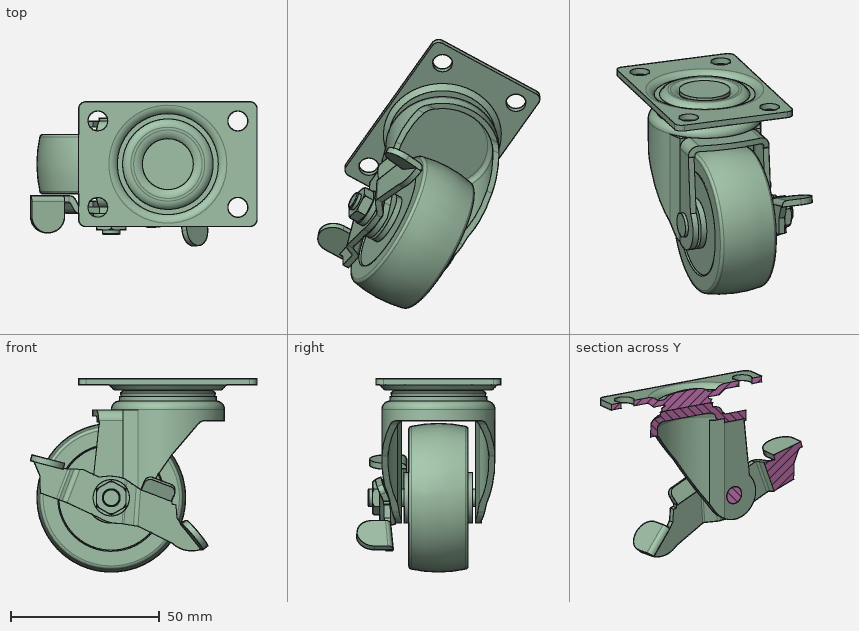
import cadquery as cq
import math


axle_x = -19.0
plate_top = 40.0
sheet = 2.1

plate_length = 60.0
plate_width = 42.0
plate_corner = 2.5
hole_pitch_x = 47.0
hole_pitch_y = 29.0
hole_diameter = 6.6
plate_bottom = plate_top - sheet

dish_rim_radius = 19.8
dish_depth = 1.75
dish_floor_radius = 16.95
dish_floor = plate_top - dish_depth
dish_base_radius = 18.0
dish_base = plate_bottom - dish_depth
race_outer_radius = 15.2
race_crest_outer = 12.4
race_crest_inner = 11.5
pin_radius = 8.55
pin_height = 1.3
seal_neck = 0.35
seal_radius = 16.0
seal_edge = 0.95
seal_base_radius = 15.7

fork_sheet = 2.05
fork_top = 32.5
collar_radius = 16.3
collar_top = 33.95
crown_radius = 19.0
crown_round = 2.8
skirt_bottom = 25.85
arm_outer = 14.45
web_top = 29.5
web_round = 3.5
web_front_middle = -25.3
web_front_corner = -23.2
blend_start_x = -15.1
blend_end_x = -9.95
arm_end_radius = 8.55
arm_front_high = (-23.0, 25.5)
arm_front_low = (-25.4, 3.0)
skirt_end_x = 13.0
fork_back_high = (10.2, 24.8)
fork_back_round = (11.3, 25.6)
fork_back_middle = (1.0, 14.0)
fork_back_angle = 34.0

wheel_radius = 25.0
wheel_width = 20.0
crown_drop = 1.2
tread_round = 1.15
recess_radius = 18.0
recess_floor_radius = 17.6
recess_depth = 0.5
hub_radius = 8.5
hub_width = 23.0

axle_radius = 3.0
head_radius = 4.1
head_thickness = 1.05
washer_radius = 6.1
washer_thickness = 2.0
nut_flats = 10.0
nut_thickness = 3.55
nut_turn = 30.0
nut_round_chamfer = 0.5
axle_tip = -23.65
axle_chamfer = 0.35

lever_left_y = -10.6
lever_middle_y = -arm_outer
lever_right_y = -17.7
left_bend = (-36.6, -34.5)
left_bend_tilt = 20.8
right_bend = (-14.4, -10.2)
right_bend_tilt = 4.0
right_slope = math.tan(math.radians(6.5))
bend_outside_round = sheet
bend_inside_round = 1.0
lever_split_x = axle_x + 2
lever_reach = 50.0

left_end_notch = [(-43.0, 7.4), (-42.8, 1.6)]
lower_edge = [(-34.0, -1.6), (-23.5, -6.5)]
lower_belly = [(-20.0, -8.1), (-15.5, -8.7)]
lower_right_edge = [(-9.9, -9.6), (1.5, -15.3)]
lower_tip_curve = (6.2, -17.7)
right_end_notch = [(4.0, -8.2), (3.1, -6.8), (2.7, -2.4), (1.4, -2.1), (1.4, -1.2)]
upper_saddle = (-14.5, 6.4)
upper_bulge = [(-18.9, 7.25), (-23.0, 6.9)]
upper_left_edge = [(-28.5, 9.5), (-33.2, 9.7)]

release_pedal_corner = (-45.65, 14.45)
release_pedal_fall = 14.7
release_pedal_length = 11.4
release_pedal_reach = 12.5
release_pedal_overhang = 1.0
pedal_root_round = 1.9
pedal_overlap = 0.3
brake_pedal_corner = (5.65, -7.6)
brake_pedal_fall = 50.7
brake_pedal_length = 11.1
brake_pedal_reach = 11.91
tab_corner = (-8.9, 2.6)
tab_fall = 20.8
tab_length = 10.9
tab_height = 4.9
tab_lean = 25.0
tab_round = 2.2
tab_root = 0.8


def y_cylinder(radius, y_from, y_to):
    """Cylinder on the wheel axle between two Y positions."""
    start = max(y_from, y_to)
    face = cq.Workplane("XZ", origin=(axle_x, start, 0)).circle(radius)
    return face.extrude(abs(y_to - y_from))


def level_arc_middle(start_radius, end_radius, drop):
    """Middle of an arc that leaves the plate's top level and drops while it runs to the end radius."""
    run = end_radius - start_radius
    half_turn = math.atan2(drop, abs(run))
    arc_radius = drop / (1 - math.cos(2 * half_turn))
    middle_run = math.copysign(arc_radius * math.sin(half_turn), run)
    return (start_radius + middle_run, plate_top - arc_radius * (1 - math.cos(half_turn)))


def make_plate():
    blank = (
        cq.Workplane("XY", origin=(0, 0, plate_bottom))
        .rect(plate_length, plate_width)
        .extrude(sheet)
        .edges("|Z")
        .fillet(plate_corner)
        .faces(">Z")
        .workplane()
        .rarray(hole_pitch_x, hole_pitch_y, 2, 2)
        .hole(hole_diameter)
    )
    opening = cq.Workplane("XY", origin=(0, 0, plate_bottom)).circle(dish_rim_radius).extrude(sheet)
    cup_mid = level_arc_middle(race_crest_inner, pin_radius, pin_height)
    race_mid = level_arc_middle(race_crest_outer, race_outer_radius, dish_depth)
    dish_mid = level_arc_middle(dish_rim_radius, dish_floor_radius, dish_depth)
    bearing = (
        cq.Workplane("XZ")
        .moveTo(0, plate_top)
        .lineTo(pin_radius, plate_top)
        .lineTo(pin_radius, plate_top - pin_height)
        .threePointArc(cup_mid, (race_crest_inner, plate_top))
        .lineTo(race_crest_outer, plate_top)
        .threePointArc(race_mid, (race_outer_radius, dish_floor))
        .lineTo(dish_floor_radius, dish_floor)
        .threePointArc(dish_mid, (dish_rim_radius, plate_top))
        .lineTo(dish_rim_radius, plate_bottom)
        .lineTo(dish_base_radius, dish_base)
        .lineTo(race_outer_radius, dish_base)
        .lineTo(race_outer_radius, dish_base - seal_neck)
        .lineTo(seal_radius, dish_base - seal_edge)
        .lineTo(seal_base_radius, collar_top)
        .lineTo(0, collar_top)
        .close()
        .revolve(360, (0, 0, 0), (0, 1, 0))
    )
    return blank.cut(opening).union(bearing)


def fork_form(inset):
    """Solid bounded by the fork's outer skin, moved inwards by the inset."""
    floor = -2 * arm_end_radius
    radius = crown_radius - inset
    half = arm_outer - inset
    crown = (
        cq.Workplane("XY", origin=(0, 0, floor))
        .circle(radius)
        .extrude(fork_top - inset - floor)
        .faces(">Z")
        .edges()
        .fillet(crown_round - inset / 2)
    )
    arms = (
        cq.Workplane("XY", origin=(0, 0, floor))
        .moveTo(axle_x, 0)
        .rect(-2 * axle_x, 2 * half)
        .extrude(web_top - inset - floor)
        .edges("|X and >Z")
        .fillet(web_round - inset)
    )
    blend_end_y = math.sqrt(radius**2 - blend_end_x**2)
    blend = (
        cq.Workplane("XY", origin=(0, 0, floor))
        .polyline([
            (blend_start_x, -half),
            (blend_end_x, -blend_end_y),
            (blend_end_x, blend_end_y),
            (blend_start_x, half),
        ])
        .close()
        .extrude(web_top - inset - floor)
    )
    return crown.union(arms).union(blend)


def fork_side():
    """Side outline of the fork: slanted front, rounded arm end, sweeping back edge."""
    angle = math.radians(fork_back_angle)
    tangent = (axle_x + arm_end_radius * math.cos(angle), -arm_end_radius * math.sin(angle))
    outline = (
        cq.Workplane("XZ", origin=(0, plate_width / 2, 0))
        .moveTo(2 * axle_x, collar_top)
        .lineTo(2 * axle_x, arm_front_high[1])
        .lineTo(*arm_front_high)
        .lineTo(*arm_front_low)
        .lineTo(axle_x, 0)
        .lineTo(*tangent)
        .lineTo(*fork_back_middle)
        .lineTo(*fork_back_high)
        .threePointArc(fork_back_round, (skirt_end_x, skirt_bottom))
        .lineTo(plate_length / 2, skirt_bottom)
        .lineTo(plate_length / 2, collar_top)
        .close()
        .extrude(plate_width)
    )
    return outline.union(y_cylinder(arm_end_radius, plate_width / 2, -plate_width / 2))


def web_front_trim():
    """Everything ahead of the bowed front edge of the web."""
    sagitta = web_front_corner - web_front_middle
    bow_radius = (arm_outer**2 + sagitta**2) / (2 * sagitta)
    bottom = arm_front_high[1]
    block = (
        cq.Workplane("XY", origin=(web_front_corner - plate_width / 2, 0, bottom))
        .rect(plate_width, plate_width)
        .extrude(plate_top)
    )
    bow = (
        cq.Workplane("XY", origin=(web_front_middle + bow_radius, 0, bottom))
        .circle(bow_radius)
        .extrude(plate_top)
    )
    return block.cut(bow)


def make_fork(axle):
    shell = fork_form(0).cut(fork_form(fork_sheet))
    collar = (
        cq.Workplane("XY", origin=(0, 0, fork_top - fork_sheet))
        .circle(collar_radius)
        .extrude(collar_top - fork_top + fork_sheet)
    )
    return shell.intersect(fork_side()).cut(web_front_trim()).union(collar).cut(axle)


def make_wheel():
    half = wheel_width / 2
    tread_edge = wheel_radius - crown_drop
    recess_y = half - recess_depth
    hub_half = hub_width / 2
    profile = (
        cq.Workplane("XY", origin=(axle_x, 0, 0))
        .moveTo(axle_radius, -hub_half)
        .lineTo(hub_radius, -hub_half)
        .lineTo(hub_radius, -recess_y)
        .lineTo(recess_floor_radius, -recess_y)
        .lineTo(recess_radius, -half)
        .lineTo(tread_edge, -half)
        .threePointArc((wheel_radius, 0), (tread_edge, half))
        .lineTo(recess_radius, half)
        .lineTo(recess_floor_radius, recess_y)
        .lineTo(hub_radius, recess_y)
        .lineTo(hub_radius, hub_half)
        .lineTo(axle_radius, hub_half)
        .close()
    )
    body = profile.revolve(360, (0, 0, 0), (0, 1, 0))
    return body.edges(cq.selectors.RadiusNthSelector(-2)).fillet(tread_round)


def make_axle():
    washer_y = lever_middle_y - sheet
    nut_y = washer_y - washer_thickness
    nut_end = nut_y - nut_thickness
    shank = y_cylinder(axle_radius, arm_outer, axle_tip).faces("<Y").chamfer(axle_chamfer)
    head = y_cylinder(head_radius, arm_outer + head_thickness, arm_outer)
    washer = y_cylinder(washer_radius, washer_y, nut_y)
    corner_diameter = nut_flats / math.cos(math.pi / 6)
    nut = (
        cq.Workplane("XZ", origin=(axle_x, nut_y, 0))
        .transformed(rotate=(0, 0, nut_turn))
        .polygon(6, corner_diameter)
        .extrude(nut_thickness)
    )
    rounding = y_cylinder(corner_diameter / 2, nut_y, nut_end).faces("<Y").chamfer(nut_round_chamfer)
    return shank.union(head).union(washer).union(nut.intersect(rounding))


def right_inner_y(x):
    """Y of the inner face of the lever's right part."""
    return lever_right_y + (x - right_bend[1]) * right_slope


def bent_sheet(inner_points, outer_points, tilt):
    """Jogged sheet, swept along bend lines that lean from vertical."""
    lean = math.tan(math.radians(tilt))
    sweep = cq.Vector(lean * lever_reach, 0, lever_reach)
    corners = [cq.Vector(x, y, 0) - sweep * 0.5 for x, y in inner_points + outer_points[::-1]]
    wire = cq.Wire.makePolygon(corners, close=True)
    solid = cq.Workplane(cq.Solid.extrudeLinear(wire, [], sweep))
    rounds = [
        (inner_points[1], bend_outside_round),
        (inner_points[2], bend_inside_round),
        (outer_points[1], bend_inside_round),
        (outer_points[2], bend_outside_round),
    ]
    for (x, y), radius in rounds:
        solid = solid.edges(cq.selectors.NearestToPointSelector((x, y, 0))).fillet(radius)
    return solid


def jog_shift(bend, rise):
    """Distance along X between the bend lines on the two faces of the sheet."""
    return sheet * math.tan(math.atan2(rise, bend[1] - bend[0]) / 2)


def lever_blank():
    left_shift = jog_shift(left_bend, lever_left_y - lever_middle_y)
    left_end = axle_x - lever_reach
    left_outer = [
        (left_end, lever_left_y - sheet),
        (left_bend[0], lever_left_y - sheet),
        (left_bend[1], lever_middle_y - sheet),
        (lever_reach, lever_middle_y - sheet),
    ]
    left_inner = [
        (left_end, lever_left_y),
        (left_bend[0] + left_shift, lever_left_y),
        (left_bend[1] + left_shift, lever_middle_y),
        (lever_reach, lever_middle_y),
    ]
    right_shift = jog_shift(right_bend, lever_middle_y - lever_right_y)
    right_end_y = right_inner_y(lever_reach)
    right_outer = [
        (left_end, lever_middle_y - sheet),
        (right_bend[0], lever_middle_y - sheet),
        (right_bend[1], lever_right_y - sheet),
        (lever_reach, right_end_y - sheet),
    ]
    right_inner = [
        (left_end, lever_middle_y),
        (right_bend[0] + right_shift, lever_middle_y),
        (right_bend[1] + right_shift, right_inner_y(right_bend[1] + right_shift)),
        (lever_reach, right_end_y),
    ]
    half_space = cq.Workplane("XY").box(4 * lever_reach, 4 * lever_reach, 4 * lever_reach)
    left = bent_sheet(left_inner, left_outer, left_bend_tilt)
    right = bent_sheet(right_inner, right_outer, right_bend_tilt)
    left = left.intersect(half_space.translate((lever_split_x - 2 * lever_reach, 0, 0)))
    right = right.intersect(half_space.translate((lever_split_x + 2 * lever_reach, 0, 0)))
    return left.union(right)


def pedal_point(corner, fall, along, depth):
    """(X, Z) of a point on a pedal: distance along its edge and depth below its top face."""
    angle = math.radians(fall)
    x = corner[0] + along * math.cos(angle) - depth * math.sin(angle)
    z = corner[1] - along * math.sin(angle) - depth * math.cos(angle)
    return (x, z)


def lever_outline():
    joint_depth = sheet - pedal_overlap
    release_left = pedal_point(release_pedal_corner, release_pedal_fall, release_pedal_overhang, joint_depth)
    release_right = pedal_point(release_pedal_corner, release_pedal_fall, release_pedal_length, joint_depth)
    brake_top = pedal_point(brake_pedal_corner, brake_pedal_fall, 0, joint_depth)
    brake_low = pedal_point(brake_pedal_corner, brake_pedal_fall, brake_pedal_length, joint_depth)
    outline = cq.Workplane("XZ").moveTo(*release_left)
    for point in left_end_notch + lower_edge:
        outline = outline.lineTo(*point)
    outline = outline.threePointArc(*lower_belly)
    for point in lower_right_edge:
        outline = outline.lineTo(*point)
    outline = outline.threePointArc(lower_tip_curve, brake_low)
    for point in [brake_top] + right_end_notch + [tab_corner, upper_saddle]:
        outline = outline.lineTo(*point)
    outline = outline.threePointArc(*upper_bulge)
    for point in upper_left_edge + [release_right]:
        outline = outline.lineTo(*point)
    return outline.close().extrude(lever_reach)


def pedal(corner, fall, length, reach, root_y, slope):
    """Flat pedal with a round end, standing square on the lever's inner face at its root."""
    angle = math.radians(fall)
    plane = cq.Plane(
        origin=(corner[0], root_y, corner[1]),
        xDir=(math.cos(angle), slope * math.cos(angle), -math.sin(angle)),
        normal=(slope, -1, 0),
    ).rotated((-90, 0, 0))
    shoulder = length / 2 - reach
    return (
        cq.Workplane(plane)
        .lineTo(0, shoulder)
        .threePointArc((length / 2, -reach), (length, shoulder))
        .lineTo(length, 0)
        .close()
        .extrude(-sheet)
        .edges(cq.selectors.NearestToPointSelector(plane.toWorldCoords((length / 2, 0, 0)).toTuple()))
        .fillet(pedal_root_round)
    )


def release_tab():
    """Short flange at the top of the right part, leaning outwards."""
    angle = math.radians(tab_fall)
    root_y = right_inner_y(tab_corner[0]) - sheet
    plane = cq.Plane(
        origin=(tab_corner[0], root_y, tab_corner[1]),
        xDir=(math.cos(angle), right_slope * math.cos(angle), -math.sin(angle)),
        normal=(right_slope, -1, 0),
    ).rotated((tab_lean, 0, 0))
    return (
        cq.Workplane(plane)
        .moveTo(tab_length / 2, (tab_height - tab_root) / 2)
        .rect(tab_length, tab_height + tab_root)
        .extrude(-sheet)
        .edges(cq.selectors.ParallelDirSelector(plane.zDir))
        .edges(">Z or >X")
        .fillet(tab_round)
    )


def make_lever(fork, axle):
    lever = lever_blank().intersect(lever_outline())
    release = pedal(
        release_pedal_corner, release_pedal_fall, release_pedal_length, release_pedal_reach,
        root_y=lever_left_y, slope=0,
    )
    brake = pedal(
        brake_pedal_corner, brake_pedal_fall, brake_pedal_length, brake_pedal_reach,
        root_y=right_inner_y(brake_pedal_corner[0]), slope=right_slope,
    )
    lever = lever.union(release).union(brake).union(release_tab())
    return lever.cut(axle).cut(fork)


plate = make_plate()
axle = make_axle()
fork = make_fork(axle)
wheel = make_wheel()
lever = make_lever(fork, axle)

result = cq.Compound.makeCompound([plate.val(), fork.val(), wheel.val(), axle.val(), lever.val()])